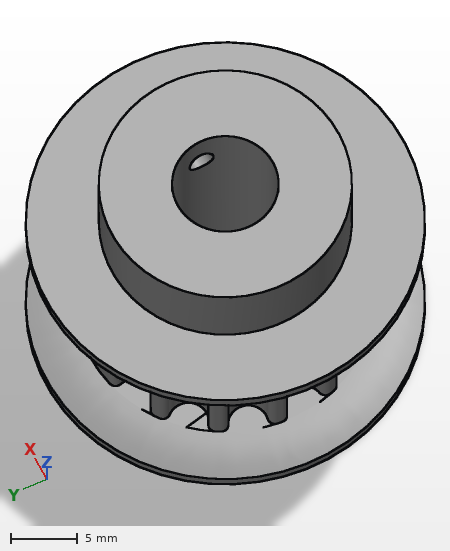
import cadquery as cq
import math

flange_radius = 15.0
total_height = 20.6
body_radius = 11.37
hub_radius = 9.5
bore_diameter = 8.0

flange_thickness = 1.6
rim_thickness = 0.9
upper_flange_top = 14.28

groove_count = 5
tooth_pitch_angle = 360 / 15
first_groove_angle = 113.8
groove_radius = 1.5
groove_depth = 2.07
tooth_tip_radius = 0.57

screw_hole_diameter = 2.0
screw_hole_height = 3.0


def make_flange():
    """Flange standing on Z = 0 with its arched face upwards."""
    return (
        cq.Workplane("XZ")
        .moveTo(0, 0)
        .lineTo(0, flange_thickness)
        .lineTo(body_radius, flange_thickness)
        .tangentArcPoint((flange_radius, rim_thickness), relative=False)
        .lineTo(flange_radius, 0)
        .close()
        .revolve(360, (0, 0, 0), (0, 1, 0))
    )


def make_toothed_body():
    """Cylinder between the flanges with rounded belt grooves."""
    body_height = upper_flange_top - 2 * flange_thickness
    body = cq.Workplane("XY").circle(body_radius).extrude(body_height)
    groove_center = body_radius - groove_depth + groove_radius
    groove = (
        cq.Workplane("XY")
        .center(groove_center + groove_radius, 0)
        .slot2D(4 * groove_radius, 2 * groove_radius)
        .extrude(body_height)
    )
    for index in range(groove_count):
        angle = first_groove_angle + index * tooth_pitch_angle
        body = body.cut(groove.rotate((0, 0, 0), (0, 0, 1), angle))

    half_angle = math.degrees(math.asin(groove_radius / body_radius))
    for index in range(groove_count):
        for side in (-1, 1):
            angle = math.radians(first_groove_angle + index * tooth_pitch_angle + side * half_angle)
            tip = (body_radius * math.cos(angle), body_radius * math.sin(angle), body_height / 2)
            body = body.edges(cq.selectors.NearestToPointSelector(tip)).fillet(tooth_tip_radius)
    return body.translate((0, 0, flange_thickness))


lower_flange = make_flange()
upper_flange = lower_flange.mirror("XY").translate((0, 0, upper_flange_top))

hub_height = total_height - upper_flange_top
hub = cq.Workplane("XY").workplane(offset=upper_flange_top).circle(hub_radius).extrude(hub_height)

bore = cq.Workplane("XY").circle(bore_diameter / 2).extrude(total_height)

screw_hole_z = upper_flange_top + screw_hole_height
screw_hole = (
    cq.Workplane("YZ")
    .center(0, screw_hole_z)
    .circle(screw_hole_diameter / 2)
    .extrude(flange_radius)
)

result = lower_flange.union(make_toothed_body()).union(upper_flange).union(hub).cut(bore).cut(screw_hole)